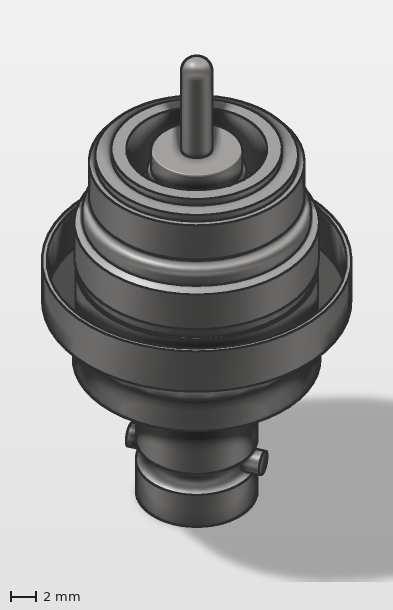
import cadquery as cq
import math

total_height = 42.65

stub_diameter = 9.7
stub_radius = stub_diameter / 2
stub_chamfer = 0.13
groove_floor_radius = 4.22
groove_height = 4.25
groove_half_width = 1.02
lug_radius = 1.0
lug_reach = 5.65

collar_bottom = 11.15
collar_radius = 6.27
flange_bottom = 13.2
flange_radius = 9.85
cup_cone_bottom = 16.2
cup_cone_top = 18.85
cup_rim = 22.83
cup_diameter = 24.6
cup_radius = cup_diameter / 2
cup_wall = 0.4

shank_radius = 9.65
shank_top = 22.05
snap_groove_radius = 9.5
snap_groove_bottom = 22.2
body_radius = 9.75
body_bottom = 23.13
body_top = 26.55

bead_radius = 9.1
bead_bottom = 26.92
bead_top = 28.55
bead_round = 0.85
neck_radius = 7.5
neck_top = 28.65

head_radius = 8.58
head_chamfer = 0.5
head_top = 32.5
head_steps = [(8.05, 33.15), (6.8, 33.8)]
rim_height = head_steps[-1][1]

bore_radius = 5.6
bore_depth = 5.1
floor_slope = 22
boss_radius = 3.63
boss_round = 0.15
boss_base_radius = 3.95
boss_flare_top = 31.95

pin_diameter = 2.5
pin_radius = pin_diameter / 2


def outer_profile():
    """Half section of the outside, including the hollow of the cup."""
    bead_inset_45 = bead_round * (1 - math.sqrt(0.5))

    cone_run = cup_radius - flange_radius
    cone_rise = cup_cone_top - cup_cone_bottom
    cone_angle = math.atan2(cone_run, cone_rise)
    inner_radius = cup_radius - cup_wall
    inner_corner = cup_cone_top + cup_wall * math.tan(cone_angle / 2)
    inner_floor = inner_corner - (inner_radius - shank_radius) * cone_rise / cone_run

    profile = (
        cq.Workplane("XZ")
        .moveTo(0, 0)
        .lineTo(stub_radius - stub_chamfer, 0)
        .lineTo(stub_radius, stub_chamfer)
        .lineTo(stub_radius, groove_height - groove_half_width)
        .threePointArc(
            (groove_floor_radius, groove_height),
            (stub_radius, groove_height + groove_half_width),
        )
        .lineTo(stub_radius, collar_bottom)
        .lineTo(collar_radius, collar_bottom)
        .lineTo(collar_radius, flange_bottom)
        .lineTo(flange_radius, flange_bottom)
        .lineTo(flange_radius, cup_cone_bottom)
        .lineTo(cup_radius, cup_cone_top)
        .lineTo(cup_radius, cup_rim)
        .lineTo(inner_radius, cup_rim)
        .lineTo(inner_radius, inner_corner)
        .lineTo(shank_radius, inner_floor)
        .lineTo(shank_radius, shank_top)
        .lineTo(snap_groove_radius, snap_groove_bottom)
        .lineTo(snap_groove_radius, body_bottom)
        .lineTo(body_radius, body_bottom)
        .lineTo(body_radius, body_top)
        .lineTo(bead_radius, bead_bottom)
        .lineTo(bead_radius, bead_top - bead_round)
        .threePointArc(
            (bead_radius - bead_inset_45, bead_top - bead_inset_45),
            (bead_radius - bead_round, bead_top),
        )
        .lineTo(neck_radius, bead_top)
        .lineTo(neck_radius, neck_top)
        .lineTo(head_radius - head_chamfer, neck_top)
        .lineTo(head_radius, neck_top + head_chamfer)
        .lineTo(head_radius, head_top)
    )
    step_bottom = head_top
    for step_radius, step_top in head_steps:
        profile = profile.lineTo(step_radius, step_bottom).lineTo(step_radius, step_top)
        step_bottom = step_top
    return profile.lineTo(0, rim_height).close()


def recess_profile():
    """Half section of the ring-shaped recess, open at the head rim."""
    floor_edge = rim_height - bore_depth
    floor_drop = (bore_radius - boss_base_radius) * math.tan(math.radians(floor_slope))
    flare_height = boss_base_radius - boss_radius
    boss_inset_45 = boss_round * (1 - math.sqrt(0.5))
    return (
        cq.Workplane("XZ")
        .moveTo(bore_radius, rim_height)
        .lineTo(bore_radius, floor_edge)
        .lineTo(boss_base_radius, floor_edge - floor_drop)
        .lineTo(boss_base_radius, boss_flare_top - flare_height)
        .lineTo(boss_radius, boss_flare_top)
        .lineTo(boss_radius, rim_height - boss_round)
        .threePointArc(
            (boss_radius - boss_inset_45, rim_height - boss_inset_45),
            (boss_radius - boss_round, rim_height),
        )
        .close()
    )


def contact_pin():
    """Pin standing on the boss, ending in a half ball."""
    straight_length = total_height - pin_radius - rim_height
    shaft = cq.Workplane("XY").workplane(offset=rim_height).circle(pin_radius).extrude(straight_length)
    tip = cq.Workplane("XY").sphere(pin_radius).translate((0, 0, total_height - pin_radius))
    return shaft.union(tip)


def bayonet_lugs():
    """Round bar across the stub; its two ends are the lugs."""
    return (
        cq.Workplane("YZ")
        .center(0, groove_height)
        .circle(lug_radius)
        .extrude(lug_reach, both=True)
    )


def revolve_full(profile):
    """Turn a half section once around the Z axis."""
    return profile.revolve(360, (0, 0), (0, 1))


body = revolve_full(outer_profile())
recess = revolve_full(recess_profile())
result = body.cut(recess).union(contact_pin()).union(bayonet_lugs())